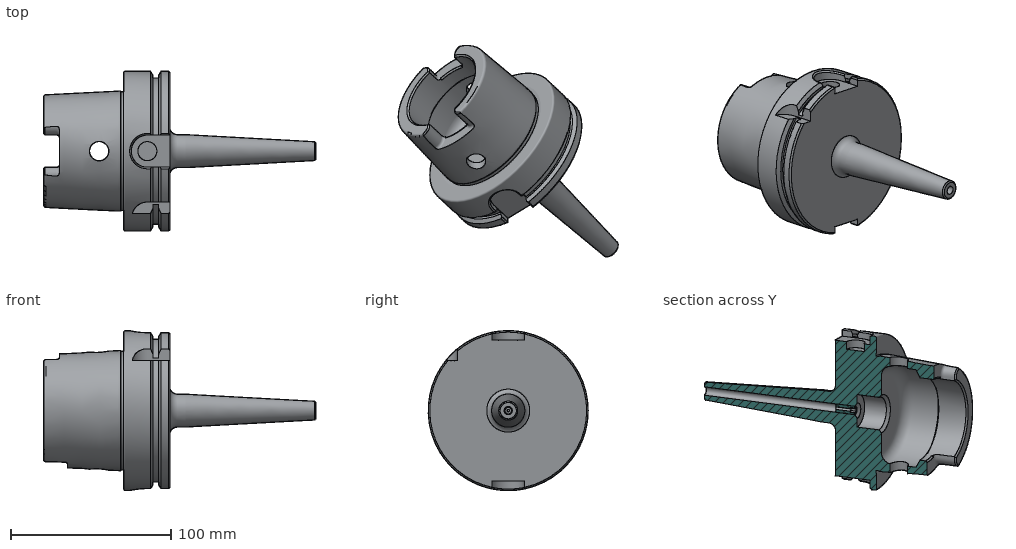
import cadquery as cq
import math


total_length = 170.0

taper_end = 47.0
taper_mouth_radius = 35.2
taper_end_radius = 37.5
mouth_round = 1.5

relief_start = 48.0
relief_slope = 0.5
relief_radius = 37.2
relief_depth = 0.5
relief_mouth_radius = 39.8

flange_face = 50.0
flange_end = 79.0
flange_radius = 50.0
flange_round = 1.2
flange_chamfer = 1.0

groove_center = 70.0
groove_mouth_width = 6.6
groove_floor_width = 3.5
groove_wall_radius = 47.5
groove_floor_radius = 45.7

nose_root_radius = 13.5
nose_radius = 10.4
nose_root_length = 4.5
nose_cylinder_end = 88.7
nose_tip_radius = 6.0
nose_tip_chamfer = 0.8

bore_radius = 26.5
bore_chamfer = 1.0
clamp_edge_depth = 19.9
clamp_bore_radius = 31.5
clamp_angle = 60.0
bore_depth = 46.5
bore_floor_round = 6.6

thread_radius = 10.4
thread_chamfer = 1.9
thread_depth = 17.0
countersink_radius = 5.0
countersink_half_angle = 59.0
core_radius = 2.5

drive_half_width = 10.0
drive_depth_top = 9.9
drive_depth_bottom = 14.8
drive_round = 5.5
drive_round_start = 26.5
drive_floor_fillet = 1.7
drive_edge_chamfer = 0.8
drive_edge_angle = 45.0

cross_hole_x = 34.7
cross_hole_radius = 6.0

slot_end_x = 64.8
slot_half_width = 10.0
slot_floor_height = 44.0
slot_chamfer = 1.0
slot_hole_radius = 6.0
slot_hole_depth = 5.0
notch_floor_height = 31.3
notch_wall_offset = 31.8
notch_end_radius = 9.7

screw_length = 13.6
screw_chamfer = 0.5
screw_socket_width = 2.5
screw_socket_depth = 3.4
screw_hole_radius = 0.7

arc_mid_inset = 1 - math.sqrt(0.5)

selection_margin = 0.2

x_axis_start = (0, 0, 0)
x_axis_end = (1, 0, 0)
thread_floor = bore_depth + thread_depth
countersink_depth = (countersink_radius - core_radius) / math.tan(math.radians(countersink_half_angle))
core_start = thread_floor + countersink_depth


def revolve_about_x(profile):
    """Spin a closed profile, drawn as X against radius, about the part axis."""
    return profile.close().revolve(360, x_axis_start, x_axis_end)


def make_outside():
    """Shank, flange and nose as one turned blank."""
    slope = (taper_end_radius - taper_mouth_radius) / taper_end
    rim_radius = taper_mouth_radius + slope * mouth_round
    mouth_diagonal = mouth_round * arc_mid_inset
    flange_diagonal = flange_round * arc_mid_inset
    root_drop = nose_root_radius - nose_radius
    root_arc_radius = (nose_root_length**2 + root_drop**2) / (2 * root_drop)
    half_sweep = math.asin(nose_root_length / root_arc_radius) / 2
    root_end = flange_end + nose_root_length
    root_mid = (
        root_end - root_arc_radius * math.sin(half_sweep),
        nose_radius + root_arc_radius * (1 - math.cos(half_sweep)),
    )
    profile = (
        cq.Workplane("XY")
        .lineTo(0, rim_radius - mouth_round)
        .threePointArc((mouth_diagonal, rim_radius - mouth_diagonal), (mouth_round, rim_radius))
        .lineTo(taper_end, taper_end_radius)
        .lineTo(relief_start, taper_end_radius)
        .lineTo(relief_start + relief_slope, relief_radius)
        .lineTo(flange_face + relief_depth, relief_radius)
        .lineTo(flange_face, relief_mouth_radius)
        .lineTo(flange_face, flange_radius - flange_round)
        .threePointArc(
            (flange_face + flange_diagonal, flange_radius - flange_diagonal),
            (flange_face + flange_round, flange_radius),
        )
        .lineTo(flange_end - flange_chamfer, flange_radius)
        .lineTo(flange_end, flange_radius - flange_chamfer)
        .lineTo(flange_end, nose_root_radius)
        .threePointArc(root_mid, (root_end, nose_radius))
        .lineTo(nose_cylinder_end, nose_radius)
        .lineTo(total_length - nose_tip_chamfer, nose_tip_radius)
        .lineTo(total_length, nose_tip_radius - nose_tip_chamfer)
        .lineTo(total_length, 0)
    )
    return revolve_about_x(profile)


def make_cavity():
    """Shank bore with its clamping undercut, threaded hole and core hole."""
    clamp_length = (clamp_bore_radius - bore_radius) / math.tan(math.radians(clamp_angle))
    diagonal = bore_floor_round * arc_mid_inset
    profile = (
        cq.Workplane("XY")
        .lineTo(0, bore_radius + bore_chamfer)
        .lineTo(bore_chamfer, bore_radius)
        .lineTo(clamp_edge_depth, bore_radius)
        .lineTo(clamp_edge_depth + clamp_length, clamp_bore_radius)
        .lineTo(bore_depth - bore_floor_round, clamp_bore_radius)
        .threePointArc(
            (bore_depth - diagonal, clamp_bore_radius - diagonal),
            (bore_depth, clamp_bore_radius - bore_floor_round),
        )
        .lineTo(bore_depth, thread_radius + thread_chamfer)
        .lineTo(bore_depth + thread_chamfer, thread_radius)
        .lineTo(thread_floor, thread_radius)
        .lineTo(thread_floor, countersink_radius)
        .lineTo(core_start, core_radius)
        .lineTo(total_length, core_radius)
        .lineTo(total_length, 0)
    )
    return revolve_about_x(profile)


def drive_outline(side):
    """Slot outline across the rim, its walls rounding outwards; side is +1 above, -1 below."""
    diagonal = drive_round * arc_mid_inset
    lip = drive_half_width + drive_round
    lip_height = drive_round_start + drive_round
    return (
        cq.Workplane("YZ")
        .moveTo(-drive_half_width, 0)
        .lineTo(drive_half_width, 0)
        .lineTo(drive_half_width, side * drive_round_start)
        .threePointArc(
            (drive_half_width + diagonal, side * (lip_height - diagonal)), (lip, side * lip_height)
        )
        .lineTo(lip, side * flange_radius)
        .lineTo(-lip, side * flange_radius)
        .lineTo(-lip, side * lip_height)
        .threePointArc(
            (-drive_half_width - diagonal, side * (lip_height - diagonal)),
            (-drive_half_width, side * drive_round_start),
        )
        .close()
    )


def make_drive_slot(side, depth):
    """Drive slot with a filleted floor, a chamfered entry and a chamfered bore edge at the floor."""
    slot = drive_outline(side).extrude(depth).faces(">X").edges().fillet(drive_floor_fillet)
    entry = (
        drive_outline(side)
        .offset2D(drive_edge_chamfer)
        .extrude(drive_edge_chamfer, taper=drive_edge_angle)
    )
    bore_edge = revolve_about_x(
        cq.Workplane("XY")
        .moveTo(depth, 0)
        .lineTo(depth, bore_radius + bore_chamfer)
        .lineTo(depth + bore_chamfer, bore_radius)
        .lineTo(depth + bore_chamfer, 0)
    )
    slot_width = 2 * (drive_half_width - drive_floor_fillet)
    opening = cq.Workplane("XY").box(total_length, slot_width, flange_radius).translate(
        (0, 0, side * flange_radius / 2)
    )
    return slot.union(entry).union(bore_edge.intersect(opening))


def make_flange_slot():
    """Cutter for the round-ended slot on top of the flange, open towards the nose."""
    return (
        cq.Workplane("XY", origin=(0, 0, slot_floor_height))
        .moveTo(total_length, slot_half_width)
        .lineTo(slot_end_x, slot_half_width)
        .threePointArc((slot_end_x - slot_half_width, 0), (slot_end_x, -slot_half_width))
        .lineTo(total_length, -slot_half_width)
        .close()
        .extrude(flange_radius)
    )


def make_slot_hole():
    """Blind hole in the floor of the upper flange slot."""
    bottom = slot_floor_height - slot_hole_depth
    return (
        cq.Workplane("XY", origin=(slot_end_x, 0, bottom))
        .circle(slot_hole_radius)
        .extrude(slot_hole_depth)
    )


def make_notch():
    """Corner notch at -Y and +Z, with a round end towards the shank."""
    r = notch_end_radius
    diagonal = r * arc_mid_inset
    wall = -notch_wall_offset
    return (
        cq.Workplane("XY", origin=(0, 0, notch_floor_height))
        .moveTo(flange_end, wall)
        .lineTo(slot_end_x, wall)
        .threePointArc((slot_end_x - r + diagonal, wall - diagonal), (slot_end_x - r, wall - r))
        .lineTo(slot_end_x - r, -flange_radius)
        .lineTo(flange_end, -flange_radius)
        .close()
        .extrude(flange_radius)
    )


def make_groove():
    """Gripper groove around the flange."""
    half_mouth = groove_mouth_width / 2
    half_floor = groove_floor_width / 2
    profile = (
        cq.Workplane("XY")
        .moveTo(groove_center - half_mouth, flange_radius)
        .lineTo(groove_center - half_floor, groove_wall_radius)
        .lineTo(groove_center - half_floor, groove_floor_radius)
        .lineTo(groove_center + half_floor, groove_floor_radius)
        .lineTo(groove_center + half_floor, groove_wall_radius)
        .lineTo(groove_center + half_mouth, flange_radius)
    )
    return revolve_about_x(profile)


def cut_flange_slots(blank):
    """Cut the upper and lower flange slots and chamfer their edges at the flange rim."""
    slot = make_flange_slot()
    edge_height = math.sqrt(flange_radius**2 - slot_half_width**2)
    for side, cutter in ((1, slot), (-1, slot.mirror("XY"))):
        heights = sorted((side * (edge_height - selection_margin), side * flange_radius))
        rim_edges = cq.selectors.BoxSelector(
            (slot_end_x - slot_half_width, -flange_radius, heights[0]),
            (flange_end - flange_chamfer, flange_radius, heights[1]),
        )
        blank = blank.cut(cutter).edges(rim_edges).chamfer(slot_chamfer)
    return blank


def make_holder():
    """Turned holder with every slot, hole, notch and groove cut."""
    cross_hole = (
        cq.Workplane("XY")
        .center(cross_hole_x, 0)
        .circle(cross_hole_radius)
        .extrude(flange_radius, both=True)
    )
    cutters = (
        make_cavity(),
        make_groove(),
        make_drive_slot(1, drive_depth_top),
        make_drive_slot(-1, drive_depth_bottom),
        cross_hole,
        make_slot_hole(),
        make_notch(),
    )
    holder = cut_flange_slots(make_outside())
    for cutter in cutters:
        holder = holder.cut(cutter)
    return holder


def make_stop_screw():
    """Screw filling the start of the core hole, with a hexagon socket and a coolant hole through it."""
    return (
        cq.Workplane("YZ", origin=(core_start, 0, 0))
        .circle(core_radius)
        .extrude(screw_length)
        .edges()
        .chamfer(screw_chamfer)
        .faces("<X")
        .workplane()
        .polygon(6, screw_socket_width, circumscribed=True)
        .cutBlind(-screw_socket_depth)
        .faces("<X")
        .workplane()
        .circle(screw_hole_radius)
        .cutThruAll()
    )


holder = make_holder()
stop_screw = make_stop_screw()
result = cq.Compound.makeCompound([holder.val(), stop_screw.val()])